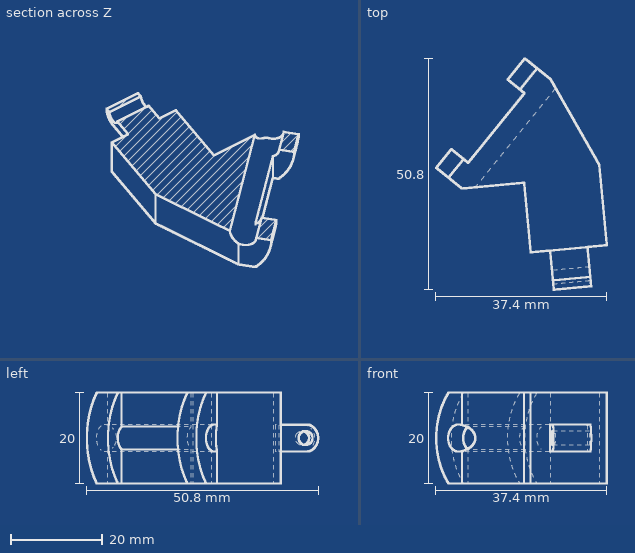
import cadquery as cq
import math

height = 20.0
leg_angle = 5.4
fork_angle = 51.0

leg_width = 16.8
leg_inner_length = 15.35
leg_outer_length = 17.75
shoulder_length = 13.65

fork_width = 30.9
fork_side_length = 7.3
near_lug_thickness = 5.3
far_lug_thickness = 6.0
gap_depth = 4.75
lug_tip_rise = 3.5
pin_hole_diameter = 6.0
pin_hole_setback = 6.4

tongue_width = 8.3
tongue_length = 8.65
tongue_thickness = 5.95
tongue_tip_rise = 2.1
tongue_hole_diameter = 3.05
tongue_hole_setback = 2.8


def direction(angle):
    return cq.Vector(math.cos(math.radians(angle)), math.sin(math.radians(angle)), 0)


leg_across = direction(leg_angle)
leg_up = direction(leg_angle + 90)
fork_along = direction(fork_angle)
fork_out = direction(fork_angle + 90)

elbow = cq.Vector(0, 0, 0)
leg_inner_end = elbow - leg_up * leg_inner_length
leg_outer_end = leg_inner_end + leg_across * leg_width
leg_outer_top = leg_outer_end + leg_up * leg_outer_length
fork_foot = elbow - leg_across * shoulder_length
near_tip = fork_foot + fork_out * fork_side_length
far_tip = near_tip + fork_along * fork_width
far_foot = far_tip - fork_out * fork_side_length


def rounded_bar(axis, outward, tip, width, length, thickness, tip_rise):
    """Bar of given width along axis, reaching outward to a tip arched across its thickness."""
    plane = cq.Plane(origin=tip, xDir=outward, normal=axis)
    half = thickness / 2
    return (
        cq.Workplane(plane)
        .moveTo(-length, -half)
        .lineTo(-tip_rise, -half)
        .threePointArc((0, 0), (-tip_rise, half))
        .lineTo(-length, half)
        .close()
        .extrude(width)
    )


def hole_along(axis, outward, tip, setback, diameter, length):
    plane = cq.Plane(origin=tip - outward * setback, xDir=outward, normal=axis)
    return cq.Workplane(plane).circle(diameter / 2).extrude(length)


outline = [elbow, leg_inner_end, leg_outer_end, leg_outer_top, far_foot, far_tip, near_tip, fork_foot]
body = (
    cq.Workplane("XY")
    .polyline([(point.x, point.y) for point in outline])
    .close()
    .extrude(height / 2, both=True)
)

gap_width = fork_width - near_lug_thickness - far_lug_thickness
gap_plane = cq.Plane(origin=near_tip + fork_along * near_lug_thickness, xDir=fork_along, normal=(0, 0, 1))
gap = (
    cq.Workplane(gap_plane)
    .box(gap_width, 2 * gap_depth, height, centered=(False, True, True))
)

fork_block = (
    cq.Workplane(cq.Plane(origin=near_tip, xDir=fork_along, normal=(0, 0, 1)))
    .rect(fork_width, 2 * lug_tip_rise)
    .extrude(height / 2, both=True)
    .translate(fork_along * (fork_width / 2))
)
arched_fork = rounded_bar(
    fork_along, fork_out, near_tip, fork_width, fork_side_length, height, lug_tip_rise
)
tip_waste = fork_block.cut(arched_fork)

pin_hole = hole_along(
    fork_along, fork_out, near_tip, pin_hole_setback, pin_hole_diameter, fork_width
)

tongue_side = (leg_width - tongue_width) / 2
tongue_tip = leg_inner_end + leg_across * tongue_side - leg_up * tongue_length
leg_down = leg_up * -1
tongue = rounded_bar(
    leg_across, leg_down, tongue_tip, tongue_width, tongue_length, tongue_thickness, tongue_tip_rise
)
tongue_hole = hole_along(
    leg_across, leg_down, tongue_tip, tongue_hole_setback, tongue_hole_diameter, tongue_width
)

result = body.cut(gap).cut(tip_waste).cut(pin_hole).union(tongue).cut(tongue_hole)